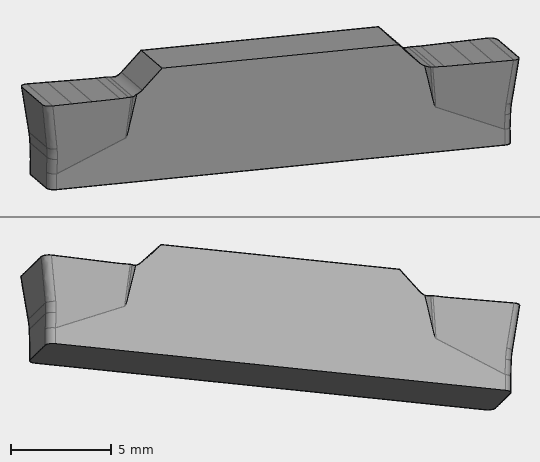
import cadquery as cq
import math


cutting_width = 4.0
length = 25.08
height = 5.79
core_width = 3.24

ledge_height = 4.51
ramp_angle = 45
ramp_top_station = 6.29
ramp_root_radius = 0.8
flank_angle = 7.5
flank_low_height = 2.18
flank_end_height = 1.645

edge_land = 0.4
edge_land_drop = 0.013
breaker_start = 1.45
breaker_middle_end = 2.51
breaker_end = 4.0
breaker_rise_end = 4.46
breaker_depth = 0.018
breaker_bump = 0.003

side_taper = 0.0414
side_draft = 0.0993
back_angle = 35
back_station = 4.95
back_draft = 0.24
back_core_gap = 0.6

corner_radius = 0.4
back_corner_radius = 0.2

half_length = length / 2
half_core = core_width / 2
sharp_tip_half = cutting_width / 2 + side_taper * corner_radius
flank_slope = math.tan(math.radians(flank_angle))
flank_low_station = (ledge_height - edge_land_drop - flank_low_height) * flank_slope
flank_curve_depth = (flank_low_height - flank_end_height) * math.tan(math.radians(flank_angle / 2))
core_end_station = flank_low_station + flank_curve_depth
back_slope = math.tan(math.radians(back_angle))


def at(station, z):
    """Y-Z point in the head at the -Y end."""
    return (station - half_length, z)


def half_profile():
    """Side profile from the -Y end to mid-length, extruded across more than the full width."""
    ramp = math.radians(ramp_angle)
    ramp_foot_station = ramp_top_station - (height - ledge_height) / math.tan(ramp)
    root_start = ramp_foot_station - ramp_root_radius * math.tan(ramp / 2)
    root_end = root_start + ramp_root_radius * math.sin(ramp)
    root_end_height = ledge_height + ramp_root_radius * (1 - math.cos(ramp))

    def breaker_height(station):
        fall = (station - edge_land) / (breaker_end - edge_land)
        return ledge_height - breaker_depth * fall

    bump_station = (breaker_start + breaker_middle_end) / 2
    bump_height = breaker_height(bump_station) + breaker_bump

    outline = (
        cq.Workplane("YZ", origin=(-cutting_width, 0, 0))
        .moveTo(0, 0)
        .lineTo(*at(core_end_station, 0))
        .lineTo(*at(core_end_station, flank_end_height))
        .tangentArcPoint(at(flank_low_station, flank_low_height), relative=False)
        .lineTo(*at(0, ledge_height - edge_land_drop))
        .threePointArc(
            at(edge_land / 2, ledge_height - edge_land_drop / 4),
            at(edge_land, ledge_height),
        )
        .lineTo(*at(breaker_start, breaker_height(breaker_start)))
        .threePointArc(
            at(bump_station, bump_height),
            at(breaker_middle_end, breaker_height(breaker_middle_end)),
        )
        .lineTo(*at(breaker_end, breaker_height(breaker_end)))
        .spline([at(breaker_rise_end, ledge_height)], tangents=[(1, 0), (1, 0)], includeCurrent=True)
        .lineTo(*at(root_start, ledge_height))
        .tangentArcPoint(at(root_end, root_end_height), relative=False)
        .lineTo(*at(ramp_top_station, height))
        .lineTo(0, height)
        .close()
    )
    return outline.extrude(2 * cutting_width)


def head_section(z):
    """Plan outline of the -Y head at height z, as a closed wire."""
    depth = ledge_height - z
    tip_half = sharp_tip_half - side_draft * depth
    back_at_core = back_station - back_draft * depth
    corner_station = (back_at_core - (tip_half - half_core) / back_slope) / (1 - side_taper / back_slope)
    corner_half = tip_half - side_taper * corner_station
    inner_half = half_core - back_core_gap * back_slope
    inner_station = back_at_core + back_core_gap
    right_side = [
        (tip_half, -half_length),
        (corner_half, corner_station - half_length),
        (inner_half, inner_station - half_length),
    ]
    left_side = [(-x, y) for x, y in reversed(right_side)]
    return cq.Wire.makePolygon([cq.Vector(x, y, z) for x, y in right_side + left_side], close=True)


def edges_between(body, first_station, last_station):
    """Upright outer corner edges of a head lying between two stations."""
    def is_corner(edge):
        start, end = edge.startPoint(), edge.endPoint()
        station = edge.Center().y + half_length
        upright = abs(end.z - start.z) > abs(end.y - start.y) and start.x * end.x > 0
        outside = min(abs(start.x), abs(end.x)) > half_core - corner_radius
        return upright and outside and first_station < station < last_station

    return [edge for edge in body.edges().vals() if is_corner(edge)]


def make_head(profile):
    """Flared head at the -Y end with rounded corners."""
    block = cq.Solid.makeLoft([head_section(0), head_section(height)], True)
    head = profile.intersect(cq.Workplane(block))
    head = head.newObject(edges_between(head, 0, edge_land)).fillet(corner_radius)
    back_edges = edges_between(head, breaker_end, back_station)
    return head.newObject(back_edges).fillet(back_corner_radius)


def make_core(profile):
    """Half of the core bar, with rounded vertical corners at its end."""
    full_length = length - 2 * core_end_station
    bar = (
        cq.Workplane("XY")
        .rect(core_width, full_length)
        .extrude(height)
        .edges("|Z")
        .fillet(corner_radius)
    )
    return profile.intersect(bar)


half_body = half_profile()
half_insert = make_core(half_body).union(make_head(half_body))
result = half_insert.union(half_insert.mirror("XZ")).clean()